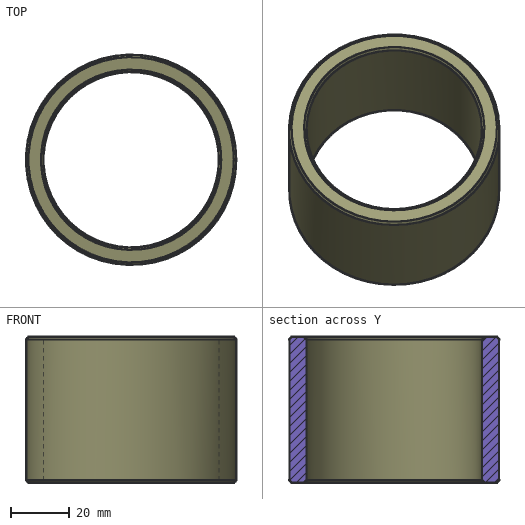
import cadquery as cq

outer_diameter = 72.0
bore_diameter = 60.0
length = 50.0
edge_chamfer = 0.9

tube = (
    cq.Workplane("XY")
    .circle(outer_diameter / 2)
    .circle(bore_diameter / 2)
    .extrude(length)
)

result = tube.faces("|Z").edges().chamfer(edge_chamfer)